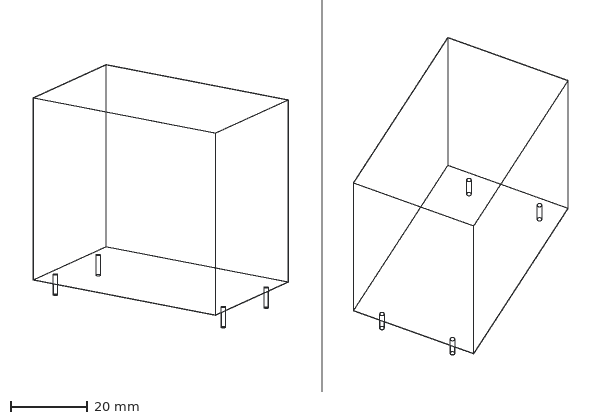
import cadquery as cq

body_length = 57.0
body_width = 35.0
body_height = 50.0

overall_height = 55.5
pin_length = overall_height - body_height
pin_diameter = 1.2
pin_pitch_x = 52.5
pin_pitch_y = 20.5


def make_body():
    """Plain block standing on the plane Z = 0."""
    return cq.Workplane("XY").box(body_length, body_width, body_height, centered=(True, True, False))


def make_pins():
    """Four pins hanging down from the underside of the body."""
    return (
        cq.Workplane("XY")
        .rect(pin_pitch_x, pin_pitch_y, forConstruction=True)
        .vertices()
        .circle(pin_diameter / 2)
        .extrude(-pin_length)
    )


result = make_body().union(make_pins())